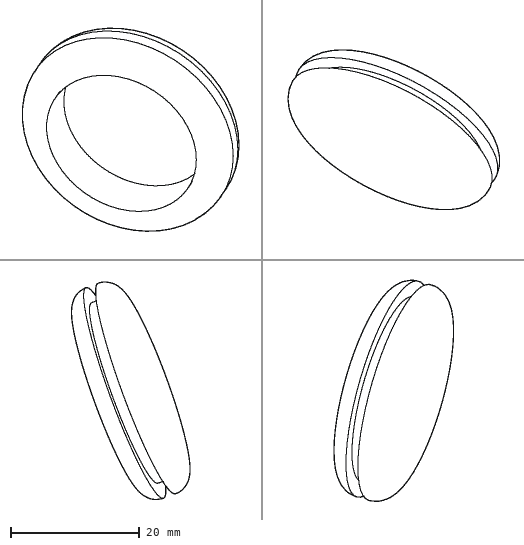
import cadquery as cq
import math

outer_diameter = 35.0
groove_diameter = 30.0
bore_diameter = 25.0
flange_thickness = 3.0
groove_width = 2.0
membrane_thickness = 0.5

outer_radius = outer_diameter / 2
groove_radius = groove_diameter / 2
bore_radius = bore_diameter / 2
half_thickness = flange_thickness + groove_width / 2
half_groove = groove_width / 2

rim_radius = outer_radius - flange_thickness
arc_offset = flange_thickness * math.sqrt(0.5)
arc_mid_radius = rim_radius + arc_offset
arc_mid_y = half_groove + arc_offset

body = (
    cq.Workplane("XY")
    .moveTo(0, -half_thickness)
    .lineTo(rim_radius, -half_thickness)
    .threePointArc((arc_mid_radius, -arc_mid_y), (outer_radius, -half_groove))
    .lineTo(groove_radius, -half_groove)
    .lineTo(groove_radius, half_groove)
    .lineTo(outer_radius, half_groove)
    .threePointArc((arc_mid_radius, arc_mid_y), (rim_radius, half_thickness))
    .lineTo(0, half_thickness)
    .close()
    .revolve(360, (0, 0, 0), (0, 1, 0))
)

bore_depth = 2 * half_thickness - membrane_thickness
bore = (
    cq.Workplane("XZ", origin=(0, -half_thickness, 0))
    .circle(bore_radius)
    .extrude(-bore_depth)
)

result = body.cut(bore)